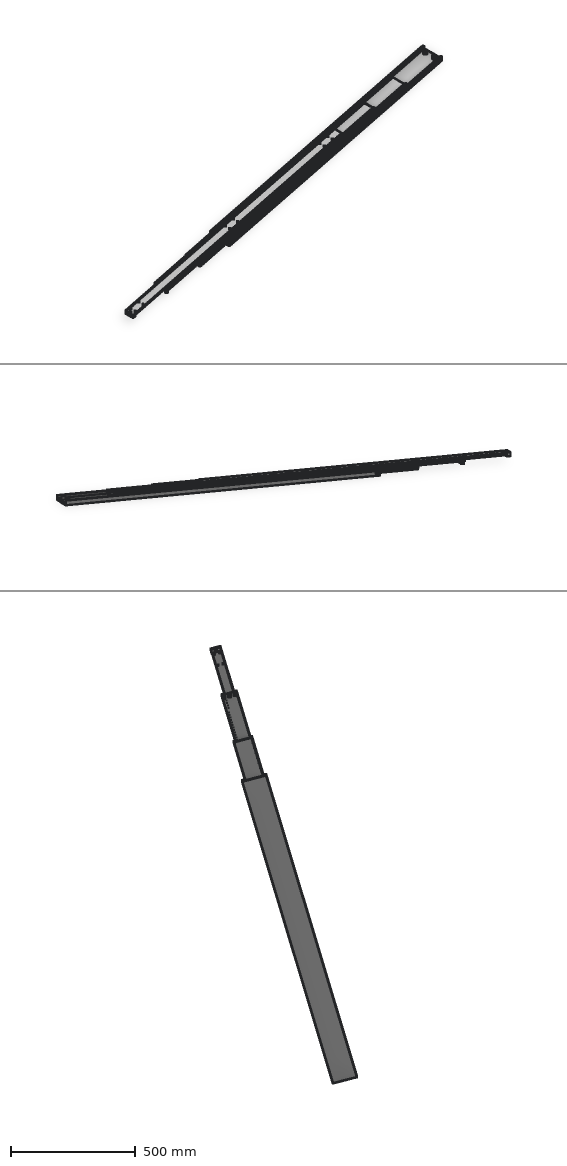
import cadquery as cq

TOTAL_LENGTH = 1923.0
TOP_STEP = 5.0

BASE_WIDTH = 100.0
BASE_HEIGHT = 20.0
BASE_FRONT = 573.0
BASE_WALL = 8.0
BASE_WEB = 8.0

CARRIER_WIDTH = 77.0
CARRIER_FRONT = 404.0
CARRIER_BACK = 1711.0
CARRIER_WALL = 5.0
CARRIER_WEB = 8.0
CARRIER_HEAD = 10.0

SLIDER_WIDTH = 63.0
SLIDER_FRONT = 200.0
SLIDER_BACK = 1521.0
SLIDER_WALL = 8.7
SLIDER_WEB = 4.8
SLIDER_HEIGHT = 10.0
SLIDER_HEAD = 4.8

TOP_WIDTH = 40.0
TOP_FRONT = 0.0
TOP_BACK = 1323.0
TOP_THICKNESS = 10.5
TOP_HEAD = 4.0

TONGUE_INSET = 2.0

POST_DIAMETER = 17.0
POST_BORE = 8.0
POST_SPACING = 46.0
POST_INSET = 17.0

CROSS_HOLE_DIAMETER = 8.0
BASE_CROSS_HOLE_INSET = 13.0
BASE_CROSS_HOLE_Z = 12.5
CARRIER_CROSS_HOLE_INSET = 8.0

PIN_DIAMETER = 12.5
PIN_SPACING = 23.0
PIN_INSET = 8.0
PIN_BOTTOM = 10.0

LIP_LENGTH = 15.0
LIP_DROP = 4.8
LIP_HOLE_DIAMETER = 8.0
LIP_HOLE_INSET = 8.0

MOUNT_HOLE_DIAMETER = 5.0
MOUNT_HOLE_SPACING_X = 23.0
MOUNT_HOLE_SPACING_Y = 50.0
MOUNT_GROUP_PITCH = 600.0
MOUNT_GROUP_COUNT = 3
MOUNT_ROWS = 2
MOUNT_FIRST_INSET = 23.0

CARRIER_TOP = BASE_HEIGHT + TOP_STEP
SLIDER_TOP = CARRIER_TOP + TOP_STEP
TOP_RAIL_TOP = SLIDER_TOP + TOP_STEP
SLIDER_BOTTOM = SLIDER_TOP - SLIDER_HEIGHT
TOP_RAIL_BOTTOM = TOP_RAIL_TOP - TOP_THICKNESS


def bar(width, y_front, y_back, z_bottom, z_top):
    """Box centred on the YZ plane."""
    size_y = y_back - y_front
    size_z = z_top - z_bottom
    box = cq.Workplane("XY").box(width, size_y, size_z, centered=(True, False, False))
    return box.translate((0, y_front, z_bottom))


def stepped_bar(width, y_front, y_back, z_bottom, z_top, head):
    """Bar with a full-width head above a narrower tongue."""
    tongue = bar(width - 2 * TONGUE_INSET, y_front, y_back, z_bottom, z_top)
    return tongue.union(bar(width, y_front, y_back, z_top - head, z_top))


def upright_rod(x, y, diameter, z_bottom, z_top):
    """Cylinder with a vertical axis."""
    rod = cq.Workplane("XY").circle(diameter / 2).extrude(z_top - z_bottom)
    return rod.translate((x, y, z_bottom))


def cross_rod(y, z):
    """Cylinder along X that reaches through both walls of any rail."""
    rod = cq.Workplane("YZ").circle(CROSS_HOLE_DIAMETER / 2).extrude(BASE_WIDTH, both=True)
    return rod.translate((0, y, z))


def make_base_rail():
    rail = bar(BASE_WIDTH, BASE_FRONT, TOTAL_LENGTH, 0, BASE_HEIGHT)
    rail = rail.cut(bar(BASE_WIDTH - 2 * BASE_WALL, BASE_FRONT, TOTAL_LENGTH, BASE_WEB, BASE_HEIGHT))
    post_y = TOTAL_LENGTH - POST_INSET
    for side in (-1, 1):
        x = side * POST_SPACING / 2
        rail = rail.union(upright_rod(x, post_y, POST_DIAMETER, 0, BASE_HEIGHT))
        rail = rail.cut(upright_rod(x, post_y, POST_BORE, BASE_WEB, BASE_HEIGHT))
    return rail.cut(cross_rod(BASE_FRONT + BASE_CROSS_HOLE_INSET, BASE_CROSS_HOLE_Z))


def make_carrier_rail():
    rail = stepped_bar(CARRIER_WIDTH, CARRIER_FRONT, CARRIER_BACK, BASE_WEB, CARRIER_TOP, CARRIER_HEAD)
    channel_width = CARRIER_WIDTH - 2 * CARRIER_WALL
    channel_floor = BASE_WEB + CARRIER_WEB
    rail = rail.cut(bar(channel_width, CARRIER_FRONT, CARRIER_BACK, channel_floor, CARRIER_TOP))
    return rail.cut(cross_rod(CARRIER_FRONT + CARRIER_CROSS_HOLE_INSET, CARRIER_TOP - CARRIER_HEAD / 2))


def make_slider_rail():
    rail = stepped_bar(SLIDER_WIDTH, SLIDER_FRONT, SLIDER_BACK, SLIDER_BOTTOM, SLIDER_TOP, SLIDER_HEAD)
    channel_width = SLIDER_WIDTH - 2 * SLIDER_WALL
    channel_floor = SLIDER_BOTTOM + SLIDER_WEB
    rail = rail.cut(bar(channel_width, SLIDER_FRONT, SLIDER_BACK, channel_floor, SLIDER_TOP))
    pin_y = SLIDER_FRONT + PIN_INSET
    for place in (-1, 0, 1):
        rail = rail.union(upright_rod(place * PIN_SPACING, pin_y, PIN_DIAMETER, PIN_BOTTOM, channel_floor))
    return rail


def make_top_rail():
    rail = stepped_bar(TOP_WIDTH, TOP_FRONT, TOP_BACK, TOP_RAIL_BOTTOM, TOP_RAIL_TOP, TOP_HEAD)
    lip_bottom = TOP_RAIL_BOTTOM - LIP_DROP
    rail = rail.union(bar(TOP_WIDTH, TOP_FRONT, TOP_FRONT + LIP_LENGTH, lip_bottom, TOP_RAIL_TOP))
    lip_hole_y = TOP_FRONT + LIP_HOLE_INSET
    rail = rail.cut(upright_rod(0, lip_hole_y, LIP_HOLE_DIAMETER, lip_bottom, TOP_RAIL_TOP))
    for group in range(MOUNT_GROUP_COUNT):
        for row in range(MOUNT_ROWS):
            y = TOP_FRONT + MOUNT_FIRST_INSET + group * MOUNT_GROUP_PITCH + row * MOUNT_HOLE_SPACING_Y
            for side in (-1, 1):
                x = side * MOUNT_HOLE_SPACING_X / 2
                rail = rail.cut(upright_rod(x, y, MOUNT_HOLE_DIAMETER, TOP_RAIL_BOTTOM, TOP_RAIL_TOP))
    return rail


base_rail = make_base_rail()
carrier_rail = make_carrier_rail()
slider_rail = make_slider_rail()
top_rail = make_top_rail()

result = cq.Compound.makeCompound([base_rail.val(), carrier_rail.val(), slider_rail.val(), top_rail.val()])